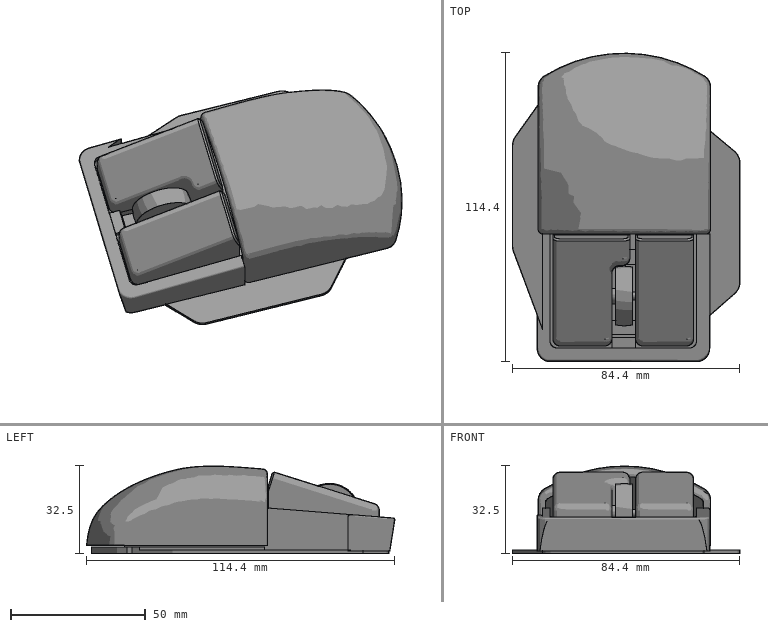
import cadquery as cq
import math

CORNER_RADIUS = 5.0
EDGE_MARGIN = 0.1
CUT_OVERSHOOT = 1.1

CORE_CENTRE_X = -1.0
CORE_WIDTH = 59.9
CORE_LEFT = CORE_CENTRE_X - CORE_WIDTH / 2
CORE_RIGHT = CORE_CENTRE_X + CORE_WIDTH / 2
CORE_FRONT_Y = -55.0
CORE_SIDE_END_Y = 42.1
CORE_REAR_Y = 55.4
CORE_THICKNESS = 1.0
WING_THICKNESS = 1.4
REAR_PAD_TOP = 2.5
REAR_PAD_FRONT_Y = -8.8
REAR_SHOULDER_FRONT_Y = 37.5
WING_TIP_X = 42.2
WING_CORNER_RADIUS = 5.7
LEFT_WING_ROOT_Y = (-45.4, 40.4)
LEFT_WING_TIP_Y = (-15.4, 24.7)
RIGHT_WING_ROOT_Y = (-42.0, 30.2)
RIGHT_WING_TIP_Y = (-30.3, 19.1)

COVER_CENTRE_X = -0.7
COVER_WIDTH = 64.0
COVER_FRONT_Y = -10.0
COVER_BOTTOM = 3.1
COVER_WALL = 2.7
CROWN_RADIUS = 56.4
COVER_FRONT_ROUND = 2.0
CREST = [
    (-14.9, 31.0), (-3.4, 31.8), (10.3, 32.5), (20.6, 31.8), (32.3, 28.7), (41.6, 24.6),
    (49.9, 18.9), (54.3, 13.7), (56.5, 7.8), (57.2, COVER_BOTTOM), (57.4, -2.3),
]
CREST_STEPS = 40
WIDTH_STEPS = 16
SURFACE_TOLERANCE = 0.005
SURFACE_OVERHANG = 1.7

HOUSING_CENTRE_X = CORE_CENTRE_X
HOUSING_WIDTH = 64.0
HOUSING_FRONT_Y = -57.3
HOUSING_REAR_Y = COVER_FRONT_Y
HOUSING_BOTTOM = CORE_THICKNESS
HOUSING_FRONT_TOP = 13.2
HOUSING_REAR_TOP = 16.9
FRONT_BOTTOM_Y = -55.4
HOUSING_EDGE_ROUND = 0.7
TONGUE_REAR_Y = 43.1
POCKET_LEFT = -28.3
POCKET_RIGHT = 26.1
POCKET_FRONT_Y = -52.2
POCKET_CORNER_RADIUS = 2.5
POCKET_FLOOR = 11.4
RECESS_FLOOR = 8.0
RECESS_REAR_Y = -15.7
LEDGE_REAR_Y = -48.3
LEDGE_BEVEL = 1.0
LEDGE_DROP = 0.5
WELL_FLOOR = 3.4
WELL_REAR_Y = -21.3
WELL_FRONT_Y = -42.0

BUTTON_REAR_Y = -10.3
BUTTON_FRONT_Y = -51.5
BUTTON_BOTTOM = POCKET_FLOOR
BUTTON_TOP_REAR = (-11.9, 30.4)
BUTTON_SLOPE = math.radians(17.5)
BUTTON_ROUND = 2.9
BUTTON_REAR_EDGE = 0.7
LEFT_BUTTON_LEFT = -27.2
LEFT_BUTTON_RIGHT = 1.4
WHEEL_SLOT_LEFT = -5.3
WHEEL_SLOT_REAR_Y = -21.6
RIGHT_BUTTON_LEFT = 3.4
RIGHT_BUTTON_RIGHT = 25.0
BUTTON_GAP = (WHEEL_SLOT_LEFT, RIGHT_BUTTON_LEFT)

WHEEL_Y = -32.9
WHEEL_Z = 15.0
WHEEL_RADIUS = 11.1
WHEEL_CROWN = 0.3
WHEEL_LEFT = -3.9
WHEEL_RIGHT = 2.4
LEFT_AXLE_DIAMETER = 5.7
RIGHT_AXLE_DIAMETER = 2.9


def box(x_range, y_range, z_range):
    """Box spanning the given (low, high) ranges."""
    (x0, x1), (y0, y1), (z0, z1) = x_range, y_range, z_range
    return cq.Workplane("XY").box(x1 - x0, y1 - y0, z1 - z0, centered=False).translate((x0, y0, z0))


def side_prism(outline, x_range):
    """Prism with a (y, z) outline that runs along X."""
    x0, x1 = x_range
    return cq.Workplane("YZ").polyline(outline).close().extrude(x1 - x0).translate((x0, 0, 0))


def wing(root_x, tip_x, root_y, tip_y, thickness):
    """Trapezoidal wing that reaches sideways from the core."""
    outline = [(root_x, root_y[0]), (tip_x, tip_y[0]), (tip_x, tip_y[1]), (root_x, root_y[1])]
    plate = cq.Workplane("XY").polyline(outline).close().extrude(thickness)
    tip = "<X" if tip_x < root_x else ">X"
    return plate.faces(tip).edges("|Z").fillet(WING_CORNER_RADIUS)


def left_wing(thickness):
    return wing(CORE_LEFT, -WING_TIP_X, LEFT_WING_ROOT_Y, LEFT_WING_TIP_Y, thickness)


def right_wing(thickness):
    return wing(CORE_RIGHT, WING_TIP_X, RIGHT_WING_ROOT_Y, RIGHT_WING_TIP_Y, thickness)


def core_slab(front_y, thickness):
    """Slab between the core's sides, closed by the rear arc."""
    return (
        cq.Workplane("XY")
        .moveTo(CORE_LEFT, front_y)
        .lineTo(CORE_RIGHT, front_y)
        .lineTo(CORE_RIGHT, CORE_SIDE_END_Y)
        .threePointArc((CORE_CENTRE_X, CORE_REAR_Y), (CORE_LEFT, CORE_SIDE_END_Y))
        .close()
        .extrude(thickness)
    )


def make_base_plate():
    """Plate with two side wings and a thicker pad at the rear."""
    core = core_slab(CORE_FRONT_Y, CORE_THICKNESS).faces("<Y").edges("|Z").fillet(CORNER_RADIUS)
    rear_pad = core_slab(REAR_PAD_FRONT_Y, REAR_PAD_TOP)
    shoulder = left_wing(REAR_PAD_TOP).intersect(box(
        (-WING_TIP_X, CORE_LEFT), (REAR_SHOULDER_FRONT_Y, CORE_REAR_Y), (0, REAR_PAD_TOP)))
    core = core.union(rear_pad).union(shoulder)
    return core.union(left_wing(WING_THICKNESS)).union(right_wing(WING_THICKNESS))


def crown_surface(inset):
    """Crest line swept with an arc across the width, moved inward by the inset."""
    crest = cq.Edge.makeSpline([cq.Vector(0, y, z) for y, z in CREST])
    radius = CROWN_RADIUS - inset
    half_width = COVER_WIDTH / 2 + SURFACE_OVERHANG
    rows = []
    for i in range(CREST_STEPS + 1):
        point = crest.positionAt(i / CREST_STEPS)
        tangent = crest.tangentAt(i / CREST_STEPS)
        inward = cq.Vector(0, tangent.z, -tangent.y)
        row = []
        for j in range(WIDTH_STEPS + 1):
            x = half_width * (2 * j / WIDTH_STEPS - 1)
            drop = radius - math.sqrt(radius**2 - x**2)
            row.append(point + inward * (inset + drop) + cq.Vector(COVER_CENTRE_X + x, 0, 0))
        rows.append(row)
    return cq.Face.makeSplineApprox(rows, tol=SURFACE_TOLERANCE)


def dome(inset, front_y, bottom):
    """Block under the crown surface, with rounded edges along its sides."""
    half_width = COVER_WIDTH / 2 - inset
    block = box(
        (COVER_CENTRE_X - half_width, COVER_CENTRE_X + half_width),
        (front_y, CREST[-1][0] + CUT_OVERSHOOT),
        (bottom, max(z for _, z in CREST) + CUT_OVERSHOOT),
    )
    pieces = block.val().split(crown_surface(inset)).Solids()
    body = cq.Workplane(max(pieces, key=lambda piece: piece.Volume()))
    side_edges = [e for e in body.faces("<X or >X").edges().vals() if e.geomType() == "BSPLINE"]
    return body.newObject(side_edges).fillet(CORNER_RADIUS - inset)


def make_palm_cover():
    """Shell that is open at its front and bottom."""
    outer = dome(0, COVER_FRONT_Y, COVER_BOTTOM)
    front_face = outer.faces("<Y")
    front_edges = [e for e in front_face.edges().vals() if e.Center().z > COVER_BOTTOM + EDGE_MARGIN]
    outer = outer.newObject(front_edges).fillet(COVER_FRONT_ROUND)
    return outer.cut(dome(COVER_WALL, COVER_FRONT_Y - CUT_OVERSHOOT, COVER_BOTTOM))


def housing_top(y):
    """Height of the housing's sloped top."""
    slope = (HOUSING_REAR_TOP - HOUSING_FRONT_TOP) / (HOUSING_REAR_Y - HOUSING_FRONT_Y)
    return HOUSING_FRONT_TOP + slope * (y - HOUSING_FRONT_Y)


def make_housing(base_plate):
    """Front shell with a leaning nose, seated on the base plate."""
    half_width = HOUSING_WIDTH / 2
    sides = (HOUSING_CENTRE_X - half_width, HOUSING_CENTRE_X + half_width)
    body = box(sides, (HOUSING_FRONT_Y, HOUSING_REAR_Y), (HOUSING_BOTTOM, HOUSING_REAR_TOP))
    body = body.faces("<Y").edges("|Z").fillet(CORNER_RADIUS)
    profile = [
        (FRONT_BOTTOM_Y, HOUSING_BOTTOM),
        (HOUSING_FRONT_Y, HOUSING_FRONT_TOP),
        (HOUSING_REAR_Y, HOUSING_REAR_TOP),
        (HOUSING_REAR_Y, HOUSING_BOTTOM),
    ]
    body = body.intersect(side_prism(profile, sides))
    top = body.faces(cq.selectors.DirectionMinMaxSelector(cq.Vector(0, 0, 1)))
    body = body.newObject([e for e in top.edges().vals() if e.Center().y < HOUSING_REAR_Y - EDGE_MARGIN])
    body = body.fillet(HOUSING_EDGE_ROUND)

    notch = left_wing(HOUSING_REAR_TOP)
    tongue = box((CORE_LEFT, CORE_RIGHT), (HOUSING_REAR_Y, TONGUE_REAR_Y), (REAR_PAD_TOP, COVER_BOTTOM))
    lip = box((CORE_LEFT, CORE_RIGHT), (HOUSING_REAR_Y, REAR_PAD_FRONT_Y), (HOUSING_BOTTOM, REAR_PAD_TOP))
    body = body.cut(notch).union(tongue).union(lip).cut(base_plate)
    return body.cut(button_pocket()).cut(wheel_well()).union(front_ledge())


def button_pocket():
    """Pocket for both buttons, open towards the palm cover."""
    pocket = box(
        (POCKET_LEFT, POCKET_RIGHT), (POCKET_FRONT_Y, HOUSING_REAR_Y), (POCKET_FLOOR, HOUSING_REAR_TOP)
    )
    return pocket.faces("<Y").edges("|Z").fillet(POCKET_CORNER_RADIUS)


def wheel_well():
    """Deep well with a shallow recess around it, between the buttons."""
    outline = [
        (LEDGE_REAR_Y, POCKET_FLOOR),
        (LEDGE_REAR_Y, RECESS_FLOOR),
        (WELL_FRONT_Y, RECESS_FLOOR),
        (WELL_FRONT_Y, WELL_FLOOR),
        (WELL_REAR_Y, WELL_FLOOR),
        (WELL_REAR_Y, RECESS_FLOOR),
        (RECESS_REAR_Y, RECESS_FLOOR),
        (RECESS_REAR_Y, POCKET_FLOOR),
    ]
    return side_prism(outline, BUTTON_GAP)


def front_ledge():
    """Bevelled ledge in front of the wheel that fills the gap between the buttons."""
    outline = [
        (POCKET_FRONT_Y, RECESS_FLOOR),
        (POCKET_FRONT_Y, housing_top(POCKET_FRONT_Y) - LEDGE_DROP),
        (LEDGE_REAR_Y, housing_top(LEDGE_REAR_Y) - LEDGE_DROP),
        (LEDGE_REAR_Y + LEDGE_BEVEL, RECESS_FLOOR),
    ]
    return side_prism(outline, BUTTON_GAP)


def make_button(outline):
    """Sloped button over an (x, y) outline whose last edge is its rear."""
    top_y, top_z = BUTTON_TOP_REAR
    rear_z = top_z - (BUTTON_REAR_Y - top_y) / math.tan(BUTTON_SLOPE)
    front_z = top_z - (top_y - BUTTON_FRONT_Y) * math.tan(BUTTON_SLOPE)
    floor = cq.Workplane("XY").workplane(offset=BUTTON_BOTTOM)
    body = floor.polyline(outline).close().extrude(top_z - BUTTON_BOTTOM)
    corners = [e for e in body.edges("|Z").vals() if e.Center().y < BUTTON_REAR_Y - EDGE_MARGIN]
    body = body.newObject(corners).fillet(BUTTON_ROUND)
    profile = [
        (BUTTON_FRONT_Y, BUTTON_BOTTOM),
        (BUTTON_FRONT_Y, front_z),
        BUTTON_TOP_REAR,
        (BUTTON_REAR_Y, rear_z),
        (BUTTON_REAR_Y, BUTTON_BOTTOM),
    ]
    body = body.intersect(side_prism(profile, (LEFT_BUTTON_LEFT, RIGHT_BUTTON_RIGHT)))
    slope_normal = cq.Vector(0, -math.sin(BUTTON_SLOPE), math.cos(BUTTON_SLOPE))
    top = body.faces(cq.selectors.DirectionMinMaxSelector(slope_normal))
    rim = [e for e in top.edges().vals() if e.Center().y < top_y - EDGE_MARGIN]
    body = body.newObject(rim).fillet(BUTTON_ROUND)
    top = body.faces(cq.selectors.DirectionMinMaxSelector(slope_normal))
    return top.edges(">Y").chamfer(BUTTON_REAR_EDGE)


def make_left_button():
    """Button with a step in its right side that clears the wheel."""
    return make_button([
        (LEFT_BUTTON_LEFT, BUTTON_REAR_Y),
        (LEFT_BUTTON_LEFT, BUTTON_FRONT_Y),
        (WHEEL_SLOT_LEFT, BUTTON_FRONT_Y),
        (WHEEL_SLOT_LEFT, WHEEL_SLOT_REAR_Y),
        (LEFT_BUTTON_RIGHT, WHEEL_SLOT_REAR_Y),
        (LEFT_BUTTON_RIGHT, BUTTON_REAR_Y),
    ])


def make_right_button():
    return make_button([
        (RIGHT_BUTTON_LEFT, BUTTON_REAR_Y),
        (RIGHT_BUTTON_LEFT, BUTTON_FRONT_Y),
        (RIGHT_BUTTON_RIGHT, BUTTON_FRONT_Y),
        (RIGHT_BUTTON_RIGHT, BUTTON_REAR_Y),
    ])


def make_scroll_wheel():
    """Crowned wheel with a stepped axle that reaches from button to button."""
    rim_radius = WHEEL_RADIUS - WHEEL_CROWN
    middle = (WHEEL_LEFT + WHEEL_RIGHT) / 2
    profile = (
        cq.Workplane("XY")
        .moveTo(WHEEL_SLOT_LEFT, 0)
        .lineTo(WHEEL_SLOT_LEFT, LEFT_AXLE_DIAMETER / 2)
        .lineTo(WHEEL_LEFT, LEFT_AXLE_DIAMETER / 2)
        .lineTo(WHEEL_LEFT, rim_radius)
        .threePointArc((middle, WHEEL_RADIUS), (WHEEL_RIGHT, rim_radius))
        .lineTo(WHEEL_RIGHT, RIGHT_AXLE_DIAMETER / 2)
        .lineTo(RIGHT_BUTTON_LEFT, RIGHT_AXLE_DIAMETER / 2)
        .lineTo(RIGHT_BUTTON_LEFT, 0)
        .close()
    )
    return profile.revolve(360, (0, 0, 0), (1, 0, 0)).translate((0, WHEEL_Y, WHEEL_Z))


base_plate = make_base_plate()
palm_cover = make_palm_cover()
housing = make_housing(base_plate)
left_button = make_left_button()
right_button = make_right_button()
scroll_wheel = make_scroll_wheel()

result = cq.Compound.makeCompound([
    base_plate.val(),
    palm_cover.val(),
    housing.val(),
    left_button.val(),
    right_button.val(),
    scroll_wheel.val(),
])